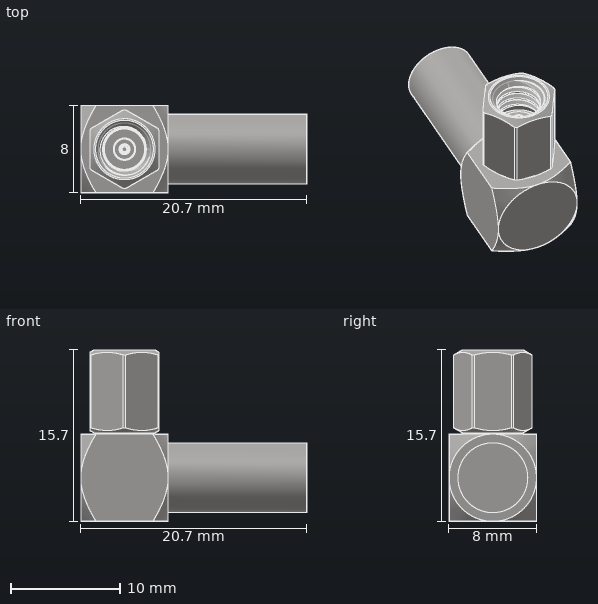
import cadquery as cq
import math


block_size = 8.0
block_half = block_size / 2
block_chamfer_angle = 40.0
corner_radius = block_half * math.sqrt(2)
corner_chamfer_depth = (corner_radius - block_half) * math.tan(math.radians(block_chamfer_angle))
tube_radius = 3.2
tube_length = 12.7

total_height = 15.7
collar_height = 0.1
nut_bottom = block_size + collar_height
nut_height = total_height - nut_bottom
nut_across_flats = 6.35
hexagon_half_angle = 30.0
nut_corner_radius = 3.6
nut_face_radius = 2.8
nut_chamfer_angle = 30.0
nut_chamfer_depth = (nut_corner_radius - nut_face_radius) * math.tan(math.radians(nut_chamfer_angle))

thread_pitch = 0.8
thread_minor_radius = 2.0
thread_major_radius = 2.4
thread_half_angle = 30.0
thread_root_width = thread_pitch / 8
thread_length = 3.05
thread_phase = -40.0
rear_bore_radius = 1.92
relief_bottom = 11.6
relief_radius = 2.5
thread_bottom = total_height - thread_length
mouth_radius = 2.65
mouth_depth = mouth_radius - thread_major_radius
lead_in_depth = 0.62

ferrule_radius = 1.85
ferrule_top = 12.0
insulator_radius = 1.02
insulator_top = 12.3
insulator_chamfer = 0.09
contact_radius = 0.5
contact_top = 13.0
contact_chamfer = 0.08
socket_radius = 0.22
socket_mouth_radius = 0.32
socket_depth = 2.0


def cylinder(radius, bottom, top):
    """Upright cylinder on the Z axis."""
    return cq.Workplane("XY").workplane(offset=bottom).circle(radius).extrude(top - bottom)


def turned(points):
    """Solid of revolution about Z from (radius, height) points."""
    return cq.Workplane("XZ").polyline(points).close().revolve(360, (0, 0), (0, 1))


def chamfered_block():
    """Cube whose corners are cut by a cone at both X ends, leaving round end faces."""
    block = cq.Workplane("XY").box(block_size, block_size, block_size)
    outline = [
        (-block_half, 0),
        (-block_half, block_half),
        (-block_half + corner_chamfer_depth, corner_radius),
        (block_half - corner_chamfer_depth, corner_radius),
        (block_half, block_half),
        (block_half, 0),
    ]
    envelope = cq.Workplane("XY").polyline(outline).close().revolve(360, (0, 0), (1, 0))
    return block.intersect(envelope).translate((0, 0, block_half))


def cable_tube():
    """Round cable end that leaves the +X face of the block."""
    start = cq.Workplane("YZ", origin=(block_half, 0, block_half))
    return start.circle(tube_radius).extrude(tube_length)


def contact_end():
    """Collar, ferrule, insulator and socket contact that rise from the block inside the nut."""
    collar = cylinder(nut_face_radius, block_size, nut_bottom)
    ferrule = cylinder(ferrule_radius, block_size, ferrule_top)
    insulator = cylinder(insulator_radius, block_size, insulator_top).faces(">Z").chamfer(insulator_chamfer)
    contact = cylinder(contact_radius, block_size, contact_top).faces(">Z").chamfer(contact_chamfer)
    stack = collar.union(ferrule).union(insulator).union(contact)
    return stack.cut(contact_socket())


def contact_socket():
    """Blind hole in the tip of the contact, with a 45 degree countersink."""
    countersink_depth = socket_mouth_radius - socket_radius
    return turned([
        (0, contact_top - socket_depth),
        (socket_radius, contact_top - socket_depth),
        (socket_radius, contact_top - countersink_depth),
        (socket_mouth_radius, contact_top),
        (0, contact_top),
    ])


def hexagon_blank():
    """Hexagonal bar with turned corners and a chamfer at both ends; flats face +X and -X."""
    circumscribed_diameter = nut_across_flats / math.cos(math.radians(hexagon_half_angle))
    hexagon = (
        cq.Workplane("XY", origin=(0, 0, nut_bottom))
        .polygon(6, circumscribed_diameter)
        .extrude(nut_height)
        .rotate((0, 0, 0), (0, 0, 1), hexagon_half_angle)
    )
    envelope = turned([
        (0, nut_bottom),
        (nut_face_radius, nut_bottom),
        (nut_corner_radius, nut_bottom + nut_chamfer_depth),
        (nut_corner_radius, total_height - nut_chamfer_depth),
        (nut_face_radius, total_height),
        (0, total_height),
    ])
    return hexagon.intersect(envelope)


def nut_bore():
    """Stepped bore: ferrule clearance, thread relief, thread crests and a two-stage lead-in."""
    return turned([
        (0, nut_bottom),
        (rear_bore_radius, nut_bottom),
        (rear_bore_radius, relief_bottom),
        (relief_radius, relief_bottom),
        (relief_radius, thread_bottom),
        (thread_minor_radius, thread_bottom),
        (thread_minor_radius, total_height - lead_in_depth),
        (thread_major_radius, total_height - mouth_depth),
        (mouth_radius, total_height),
        (0, total_height),
    ])


def thread_groove():
    """Right-hand helical groove that runs from the relief out through the lead-in."""
    inner_overlap = 0.1
    inner_radius = thread_minor_radius - inner_overlap
    groove_depth = thread_major_radius - inner_radius
    root_half = thread_root_width / 2
    mouth_half = root_half + groove_depth * math.tan(math.radians(thread_half_angle))
    start_height = thread_bottom - thread_pitch / 2
    helix_height = total_height - start_height
    helix = cq.Wire.makeHelix(thread_pitch, helix_height, inner_radius)
    groove = (
        cq.Workplane("XZ")
        .polyline([
            (inner_radius, -mouth_half),
            (thread_major_radius, -root_half),
            (thread_major_radius, root_half),
            (inner_radius, mouth_half),
        ])
        .close()
        .sweep(cq.Workplane(obj=helix), isFrenet=True)
    )
    return groove.rotate((0, 0, 0), (0, 0, 1), thread_phase).translate((0, 0, start_height))


body = chamfered_block().union(cable_tube()).union(contact_end())
pilot_hole = cylinder(thread_minor_radius, relief_bottom, total_height)
coupling_nut = hexagon_blank().cut(pilot_hole).cut(thread_groove()).cut(nut_bore())

result = cq.Compound.makeCompound([body.val(), coupling_nut.val()])